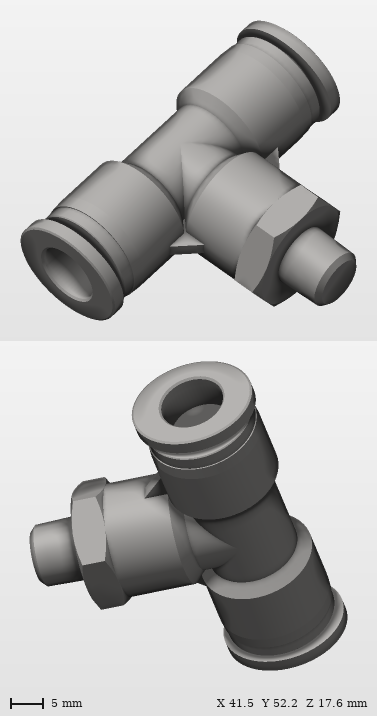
import cadquery as cq
import math


housing_diameter = 17.6
neck_diameter = 14.0
shoulder_start = 7.3
sleeve_taper_start = 18.4
sleeve_end = 20.35
sleeve_end_diameter = 17.3
collar_diameter = 16.9
collar_end = 22.55
collar_chamfer = 0.15
branch_end = 19.0
rib_thickness = 2.1
rib_reach = 12.4

ring_end = 26.1
flange_width = 19.0
flange_height = 16.65
flange_thickness = 2.25
flange_chamfer_radial = 0.3
flange_chamfer_axial = 0.2
ring_stem_diameter = 11.9
ring_bore_diameter = 9.75
ring_bore_chamfer = 0.3
ring_length = 6.0

hex_across_flats = housing_diameter
hex_width = 5.1
thread_end = 32.0
thread_root_diameter = 9.95
thread_tip_diameter = 9.55
thread_chamfer = 0.85

housing_radius = housing_diameter / 2
neck_radius = neck_diameter / 2
shoulder_length = housing_radius - neck_radius
ring_inner_end = ring_end - ring_length


def make_run():
    """Solid run along Y, stepped and tapered toward a collar at each end."""
    collar_radius = collar_diameter / 2
    half_profile = [
        (neck_radius, shoulder_start),
        (housing_radius, shoulder_start + shoulder_length),
        (housing_radius, sleeve_taper_start),
        (sleeve_end_diameter / 2, sleeve_end),
        (collar_radius, sleeve_end),
        (collar_radius, collar_end - collar_chamfer),
        (collar_radius - collar_chamfer, collar_end),
        (0, collar_end),
    ]
    mirrored_half = [(radius, -distance) for radius, distance in reversed(half_profile)]
    profile = mirrored_half + half_profile
    return cq.Workplane("XY").polyline(profile).close().revolve(360, (0, 0), (0, 1))


def make_branch():
    """Branch along +X, with the same 45 degree shoulder as the run."""
    profile = [
        (0, 0),
        (0, neck_radius),
        (neck_radius, neck_radius),
        (housing_radius, housing_radius),
        (branch_end, housing_radius),
        (branch_end, 0),
    ]
    return cq.Workplane("XY").polyline(profile).close().revolve(360, (0, 0), (1, 0))


def make_rib(side):
    """Triangular web in the corner between the branch and one half of the run."""
    slope_sum = rib_reach + housing_radius
    points = [
        (neck_radius, side * neck_radius),
        (slope_sum - neck_radius, side * neck_radius),
        (neck_radius, side * (slope_sum - neck_radius)),
    ]
    return cq.Workplane("XY").polyline(points).close().extrude(rib_thickness / 2, both=True)


def make_socket(side):
    """Blind hole that receives the stem of a release ring."""
    return (
        cq.Workplane("XZ", origin=(0, side * ring_inner_end, 0))
        .circle(ring_stem_diameter / 2)
        .extrude(-side * (collar_end - ring_inner_end))
    )


def make_housing():
    body = make_run().union(make_branch())
    for side in (-1, 1):
        body = body.union(make_rib(side)).cut(make_socket(side))
    return body


def make_release_ring(side):
    """Oval flange on a round hollow stem."""
    flange_start = ring_end - flange_thickness
    flange = (
        cq.Workplane("XZ", origin=(0, side * flange_start, 0))
        .ellipse(flange_width / 2, flange_height / 2)
        .extrude(-side * flange_thickness)
    )
    outer_face = ">Y" if side > 0 else "<Y"
    flange = flange.faces(outer_face).chamfer(flange_chamfer_axial, flange_chamfer_radial)
    stem = (
        cq.Workplane("XZ", origin=(0, side * ring_inner_end, 0))
        .circle(ring_stem_diameter / 2)
        .extrude(-side * (flange_start - ring_inner_end))
    )
    bore_radius = ring_bore_diameter / 2
    bore_profile = [
        (0, side * ring_inner_end),
        (bore_radius, side * ring_inner_end),
        (bore_radius, side * (ring_end - ring_bore_chamfer)),
        (bore_radius + ring_bore_chamfer, side * ring_end),
        (0, side * ring_end),
    ]
    bore = cq.Workplane("XY").polyline(bore_profile).close().revolve(360, (0, 0), (0, 1))
    return flange.union(stem).cut(bore)


def make_hexagon():
    """Hexagon with corners toward +Y and -Y, both ends bevelled at 30 degrees."""
    across_corners = hex_across_flats / math.cos(math.radians(30))
    corner_radius = across_corners / 2
    flat_radius = hex_across_flats / 2
    bevel = (corner_radius - flat_radius) * math.tan(math.radians(30))
    hex_end = branch_end + hex_width
    prism = cq.Workplane("YZ", origin=(branch_end, 0, 0)).polygon(6, across_corners).extrude(hex_width)
    envelope_profile = [
        (branch_end, 0),
        (branch_end, flat_radius),
        (branch_end + bevel, corner_radius),
        (hex_end - bevel, corner_radius),
        (hex_end, flat_radius),
        (hex_end, 0),
    ]
    envelope = cq.Workplane("XY").polyline(envelope_profile).close().revolve(360, (0, 0), (1, 0))
    return prism.intersect(envelope)


def make_stud():
    """Hexagon with a tapered, chamfered spigot."""
    hex_end = branch_end + hex_width
    tip_radius = thread_tip_diameter / 2
    spigot_profile = [
        (hex_end, 0),
        (hex_end, thread_root_diameter / 2),
        (thread_end - thread_chamfer, tip_radius),
        (thread_end, tip_radius - thread_chamfer),
        (thread_end, 0),
    ]
    spigot = cq.Workplane("XY").polyline(spigot_profile).close().revolve(360, (0, 0), (1, 0))
    return make_hexagon().union(spigot)


housing = make_housing()
stud = make_stud()
release_rings = [make_release_ring(side) for side in (-1, 1)]

result = cq.Compound.makeCompound([housing.val(), stud.val(), *[ring.val() for ring in release_rings]])